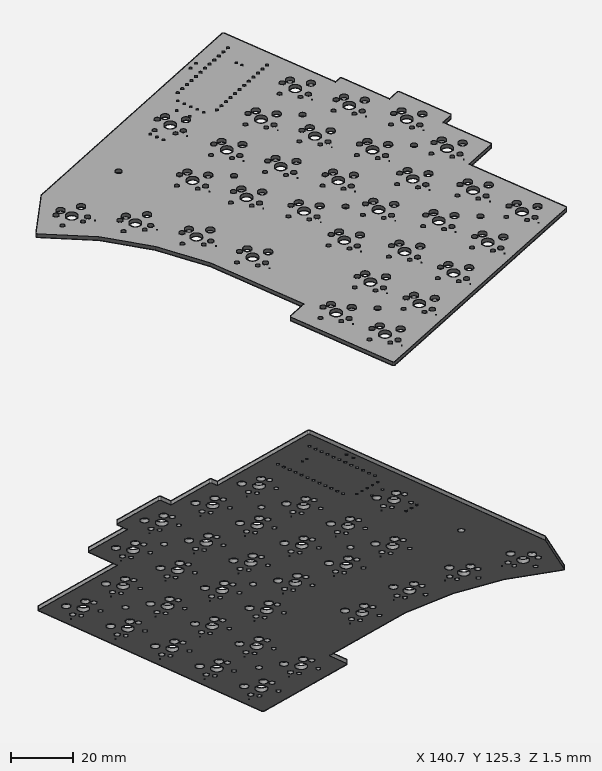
import cadquery as cq
import math

length = 140.7
width = 125.3
thickness = 1.5

pitch = 19.0
grid = 2.5
first_column_x = 35.2
side_margin = 10.4
end_margin = 10.1
tallest_top_y = width - end_margin
column_drops = [7.6, 4.8, 0, 4.8, 17.5, 17.5]
column_rows = [4, 4, 4, 4, 5, 5]
column_x = [first_column_x + i * pitch for i in range(len(column_drops))]
column_top_y = [tallest_top_y - drop for drop in column_drops]
thumb_keys = [(73.1, 29.7, 0), (52.6, 27.9, 10), (32.6, 22.5, 20), (14.0, 13.8, 30)]

switch_holes = [
    (4.1, 0, 0),
    (2.0, -2 * grid, 0),
    (2.0, 2 * grid, 0),
    (3.0, grid, 2 * grid),
    (3.0, -1.5 * grid, grid),
    (1.5, -grid, -2 * grid),
    (1.5, 1.5 * grid, -grid),
    (0.3, 3 * grid, -1.5),
]

mount_diameter = 2.3
left_mount_y = 41.0
mount_places = [(0, 0), (0, 2), (2, 0), (2, 2), (4, 0), (4, 3)]

encoder_x = 13.2
encoder_y = column_top_y[0] - 2 * pitch
encoder_pin_diameter = 0.9
encoder_switch_rise = 7.2
encoder_switch_spacing = 2 * grid
encoder_pin_drop = 7.5

controller_x = 13.4
controller_first_y = 84.4
controller_rows = 12
controller_row_gap = 6 * grid
controller_pin_diameter = 1.0
header_pins = 5
header_y = 81.0
header_pin_diameter = 0.75
battery_y = 107.6
battery_spacing = 2.1
battery_pin_diameter = 0.75
reset_x = 2.0
reset_y = 98.5
reset_spacing = 3.0
reset_pin_diameter = 0.9

corner_radius = 0.5
notch_x = 100.1
tip_x = 9.8
tip_angle = math.radians(thumb_keys[-1][2])
thumb_bends = [(27.3, 10.1), (44.7, 16.3), (63.9, 19.5)]


def board():
    tops = [y + end_margin for y in column_top_y]
    right_bottom = column_top_y[-1] - (column_rows[-1] - 1) * pitch - end_margin
    tip_y = -corner_radius * (math.sin(tip_angle) + math.cos(tip_angle) - 1)
    left_bottom = tip_y + tip_x / math.tan(tip_angle)
    step_1, step_2 = column_x[1] - side_margin, column_x[2] - side_margin
    step_3, step_4 = column_x[2] + side_margin, column_x[3] + side_margin
    outline = [
        (0, left_bottom),
        (0, tops[0]),
        (step_1, tops[0]),
        (step_1, tops[1]),
        (step_2, tops[1]),
        (step_2, tops[2]),
        (step_3, tops[2]),
        (step_3, tops[3]),
        (step_4, tops[3]),
        (step_4, tops[4]),
        (length, tops[5]),
        (length, right_bottom),
        (notch_x, right_bottom),
        (notch_x, thumb_bends[-1][1]),
        *reversed(thumb_bends),
        (tip_x, tip_y),
    ]
    rounded = [
        (0, tops[0]),
        (step_1, tops[1]),
        (step_2, tops[2]),
        (step_3, tops[2]),
        (step_4, tops[3]),
        (length, tops[5]),
        (length, right_bottom),
        (notch_x, right_bottom),
        (tip_x, tip_y),
    ]
    body = cq.Workplane("XY").polyline(outline).close().extrude(thickness)
    for x, y in rounded:
        corner = cq.selectors.NearestToPointSelector((x, y, thickness / 2))
        body = body.edges(corner).fillet(corner_radius)
    return body


def holes(diameter, centers):
    return [cq.Solid.makeCylinder(diameter / 2, thickness, cq.Vector(x, y, 0)) for x, y in centers]


def row(middle_x, y, count, spacing):
    return [(middle_x + (i - (count - 1) / 2) * spacing, y) for i in range(count)]


def key_holes(key_x, key_y, turn):
    cos, sin = math.cos(math.radians(turn)), math.sin(math.radians(turn))
    cutters = []
    for diameter, x, y in switch_holes:
        center = (key_x + x * cos - y * sin, key_y + x * sin + y * cos)
        cutters += holes(diameter, [center])
    return cutters


def all_key_holes():
    keys = [(encoder_x, encoder_y, 0)] + thumb_keys
    for x, top_y, rows in zip(column_x, column_top_y, column_rows):
        keys += [(x, top_y - i * pitch, 0) for i in range(rows)]
    return [cutter for key in keys for cutter in key_holes(*key)]


def mount_holes():
    centers = [(encoder_x, left_mount_y)]
    for column, key_row in mount_places:
        centers.append((column_x[column] + pitch / 2, column_top_y[column] - (key_row + 0.5) * pitch))
    return holes(mount_diameter, centers)


def encoder_holes():
    switch_pins = row(encoder_x, encoder_y + encoder_switch_rise, 2, encoder_switch_spacing)
    turn_pins = row(encoder_x, encoder_y - encoder_pin_drop, 3, grid)
    return holes(encoder_pin_diameter, switch_pins + turn_pins)


def controller_holes():
    pins = []
    for i in range(controller_rows):
        pins += row(controller_x, controller_first_y + i * grid, 2, controller_row_gap)
    reset_pins = [(reset_x, reset_y + side * reset_spacing / 2) for side in (-1, 1)]
    return (
        holes(controller_pin_diameter, pins)
        + holes(header_pin_diameter, row(encoder_x, header_y, header_pins, grid))
        + holes(battery_pin_diameter, row(controller_x, battery_y, 2, battery_spacing))
        + holes(reset_pin_diameter, reset_pins)
    )


cutters = all_key_holes() + mount_holes() + encoder_holes() + controller_holes()
result = cq.Workplane(board().val().cut(*cutters))